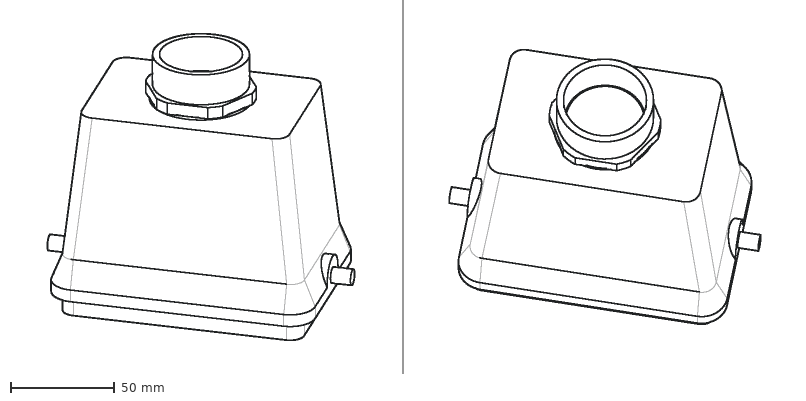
import cadquery as cq
import math


FLANGE_BOTTOM = 10.0
FLANGE_TOP = 16.25
SKIRT_TOP = 30.0
BODY_TOP = 105.0

BASE_LENGTH = 121.0
BASE_WIDTH = 79.0
ROOF_LENGTH = 104.2
ROOF_WIDTH = 71.3
CORNER_RADIUS = 7.0
FLANGE_OVERHANG = 5.5
FLANGE_LENGTH = BASE_LENGTH + 2 * FLANGE_OVERHANG
FLANGE_WIDTH = BASE_WIDTH + 2 * FLANGE_OVERHANG
FLANGE_RADIUS = CORNER_RADIUS + FLANGE_OVERHANG

COLLAR_DIAMETER = 50.0
COLLAR_HEIGHT = 1.5
HEX_FLATS = 50.0
HEX_CORNER_DIAMETER = 54.0
HEX_HEIGHT = 6.0
SPOUT_DIAMETER = 47.0
SPOUT_HEIGHT = 16.0
HEX_BOTTOM = BODY_TOP + COLLAR_HEIGHT
SPOUT_BOTTOM = HEX_BOTTOM + HEX_HEIGHT
SPOUT_TOP = SPOUT_BOTTOM + SPOUT_HEIGHT

PASSAGE_DIAMETER = 38.0
SOCKET_BOTTOM_DIAMETER = 39.14
SOCKET_TOP_DIAMETER = 40.2
SOCKET_DEPTH = 18.0

PIN_SPAN = 152.0
PIN_DIAMETER = 8.0
PIN_HEIGHT = 18.5
BOSS_RADIUS = 10.0


def rounded_rectangle(length, width, radius):
    """Sketch of a rectangle with four rounded corners."""
    return cq.Sketch().rect(length, width).vertices().fillet(radius)


def straight_block(section, bottom, top):
    """Upright block with the given section."""
    return cq.Workplane("XY").workplane(offset=bottom).placeSketch(section).extrude(top - bottom)


def tapered_block(lower, upper, bottom, top):
    """Block that changes evenly from the lower section to the upper one."""
    raised_upper = upper.moved(cq.Location(cq.Vector(0, 0, top - bottom)))
    return cq.Workplane("XY").workplane(offset=bottom).placeSketch(lower, raised_upper).loft(ruled=True)


def cylinder(diameter, bottom, top):
    """Upright cylinder on the Z axis."""
    return cq.Workplane("XY").workplane(offset=bottom).circle(diameter / 2).extrude(top - bottom)


def make_hood():
    """Base, flange with sloping skirt, and tapered upper body."""
    base_section = rounded_rectangle(BASE_LENGTH, BASE_WIDTH, CORNER_RADIUS)
    flange_section = rounded_rectangle(FLANGE_LENGTH, FLANGE_WIDTH, FLANGE_RADIUS)
    roof_section = rounded_rectangle(ROOF_LENGTH, ROOF_WIDTH, CORNER_RADIUS)
    base = straight_block(base_section, 0, FLANGE_BOTTOM)
    flange = straight_block(flange_section, FLANGE_BOTTOM, FLANGE_TOP)
    skirt = tapered_block(flange_section, base_section, FLANGE_TOP, SKIRT_TOP)
    body = tapered_block(base_section, roof_section, SKIRT_TOP, BODY_TOP)
    return base.union(flange).union(skirt).union(body)


def make_cable_entry():
    """Round collar, hexagon with turned corners, and round spout."""
    collar = cylinder(COLLAR_DIAMETER, BODY_TOP, HEX_BOTTOM)
    hexagon = (
        cq.Workplane("XY")
        .workplane(offset=HEX_BOTTOM)
        .polygon(6, HEX_FLATS / math.cos(math.pi / 6))
        .extrude(HEX_HEIGHT)
        .intersect(cylinder(HEX_CORNER_DIAMETER, HEX_BOTTOM, SPOUT_BOTTOM))
    )
    spout = cylinder(SPOUT_DIAMETER, SPOUT_BOTTOM, SPOUT_TOP)
    return collar.union(hexagon).union(spout)


def make_bore():
    """Through passage that opens into a slightly tapered socket."""
    socket_bottom = SPOUT_TOP - SOCKET_DEPTH
    passage = cylinder(PASSAGE_DIAMETER, 0, SPOUT_TOP)
    socket = (
        cq.Workplane("XY")
        .workplane(offset=socket_bottom)
        .circle(SOCKET_BOTTOM_DIAMETER / 2)
        .workplane(offset=SOCKET_DEPTH)
        .circle(SOCKET_TOP_DIAMETER / 2)
        .loft(ruled=True)
    )
    return passage.union(socket)


def make_pin_boss(side):
    """Arched boss and locking pin on one end; side is +1 or -1 along X."""
    boss_depth = FLANGE_OVERHANG + CORNER_RADIUS
    boss_start = side * (FLANGE_LENGTH / 2 - boss_depth)
    pin_length = PIN_SPAN / 2 - FLANGE_LENGTH / 2 + boss_depth
    start_plane = cq.Workplane("YZ").workplane(offset=boss_start)
    boss = (
        start_plane
        .moveTo(-BOSS_RADIUS, FLANGE_BOTTOM)
        .lineTo(-BOSS_RADIUS, PIN_HEIGHT)
        .threePointArc((0, PIN_HEIGHT + BOSS_RADIUS), (BOSS_RADIUS, PIN_HEIGHT))
        .lineTo(BOSS_RADIUS, FLANGE_BOTTOM)
        .close()
        .extrude(side * boss_depth)
    )
    pin = start_plane.center(0, PIN_HEIGHT).circle(PIN_DIAMETER / 2).extrude(side * pin_length)
    return boss.union(pin)


result = make_hood().union(make_cable_entry())
for end in (-1, 1):
    result = result.union(make_pin_boss(end))
result = result.cut(make_bore())